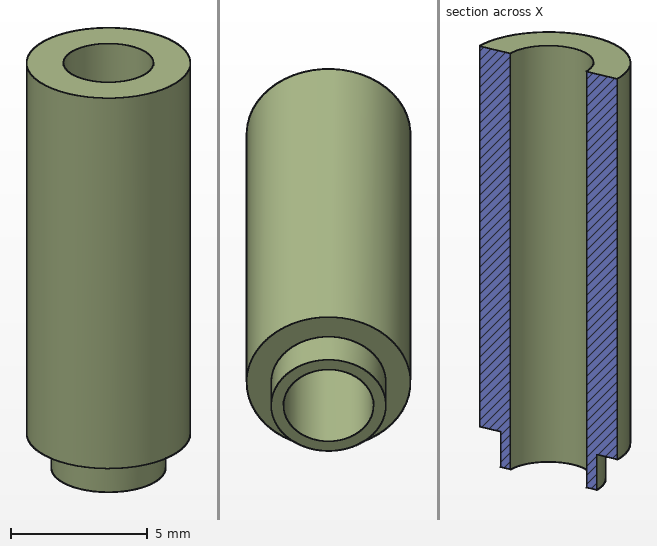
import cadquery as cq

total_length = 16.4
body_diameter = 6.0
spigot_diameter = 4.2
spigot_length = 1.4
bore_diameter = 3.3

body_length = total_length - spigot_length

spigot = cq.Workplane("XY").circle(spigot_diameter / 2).extrude(spigot_length)

body = (
    cq.Workplane("XY")
    .workplane(offset=spigot_length)
    .circle(body_diameter / 2)
    .extrude(body_length)
)

bore = cq.Workplane("XY").circle(bore_diameter / 2).extrude(total_length)

result = spigot.union(body).cut(bore)